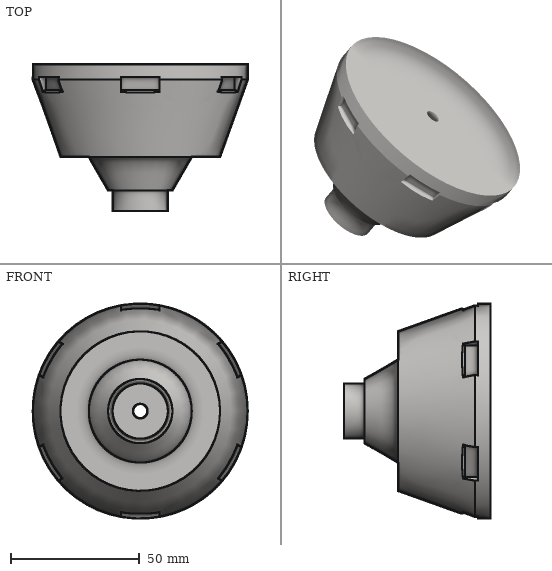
import cadquery as cq
import math


flange_diameter = 83.5
shoulder_diameter = 61.95
neck_base_diameter = 40.0
neck_tip_diameter = 25.0
spigot_diameter = 21.5
bore_diameter = 5.5

flange_end = 6.0
shoulder_end = 36.0
neck_end = 49.0
overall_length = 57.0

pocket_count = 6
pocket_width = 15.0
pocket_floor_radius = 38.0
pocket_back = 5.0
pocket_floor_end = 10.0
pocket_wall_lean = 30.0
cut_clearance = 4.2


def turned_body():
    """Flange, main cone, neck cone and spigot around a through bore."""
    bore_radius = bore_diameter / 2
    profile = [
        (bore_radius, 0),
        (flange_diameter / 2, 0),
        (flange_diameter / 2, -flange_end),
        (shoulder_diameter / 2, -shoulder_end),
        (neck_base_diameter / 2, -shoulder_end),
        (neck_tip_diameter / 2, -neck_end),
        (spigot_diameter / 2, -neck_end),
        (spigot_diameter / 2, -overall_length),
        (bore_radius, -overall_length),
    ]
    return cq.Workplane("XY").polyline(profile).close().revolve(360, (0, 0, 0), (0, 1, 0))


def rim_pocket():
    """Cutter for the pocket at the +Z side: flat floor, square back wall, leaning front wall."""
    outer_radius = flange_diameter / 2 + cut_clearance
    wall_height = outer_radius - pocket_floor_radius
    wall_run = wall_height * math.tan(math.radians(pocket_wall_lean))
    section = [
        (-pocket_back, pocket_floor_radius),
        (-pocket_floor_end, pocket_floor_radius),
        (-pocket_floor_end - wall_run, outer_radius),
        (-pocket_back, outer_radius),
    ]
    return cq.Workplane("YZ").polyline(section).close().extrude(pocket_width / 2, both=True)


result = turned_body()
pocket = rim_pocket()
for index in range(pocket_count):
    angle = index * 360 / pocket_count
    result = result.cut(pocket.rotate((0, 0, 0), (0, 1, 0), angle))